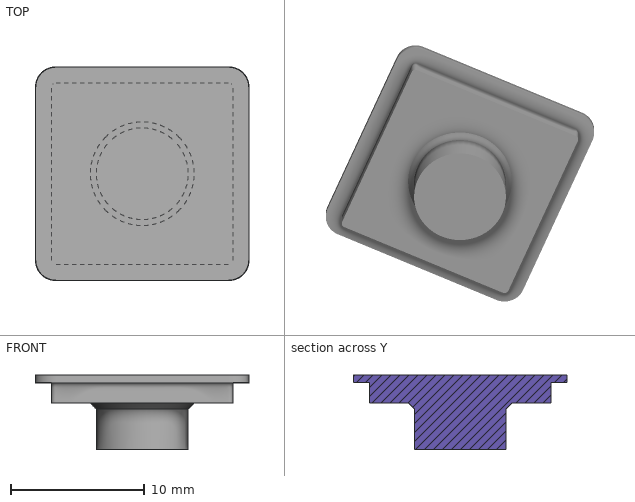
import cadquery as cq

plate_side = 16.0
plate_thickness = 0.6
plate_corner_radius = 1.52

step_inset = 1.2
step_side = plate_side - 2 * step_inset
step_corner_radius = plate_corner_radius - step_inset
step_height = 1.52

total_height = 5.6
post_diameter = 6.88
flare_height = 0.45
flare_spread = 0.45
post_length = total_height - plate_thickness - step_height

step_bottom = post_length
plate_bottom = step_bottom + step_height


def rounded_square(side, height, corner_radius, bottom):
    """Square slab with rounded vertical corners."""
    return (
        cq.Workplane("XY", origin=(0, 0, bottom))
        .rect(side, side)
        .extrude(height)
        .edges("|Z")
        .fillet(corner_radius)
    )


def flared_post():
    """Solid post that widens conically where it meets the step."""
    post_radius = post_diameter / 2
    root_radius = post_radius + flare_spread
    return (
        cq.Workplane("XZ")
        .moveTo(0, 0)
        .lineTo(post_radius, 0)
        .lineTo(post_radius, step_bottom - flare_height)
        .lineTo(root_radius, step_bottom)
        .lineTo(0, step_bottom)
        .close()
        .revolve(360, (0, 0, 0), (0, 1, 0))
    )


plate = rounded_square(plate_side, plate_thickness, plate_corner_radius, plate_bottom)
step = rounded_square(step_side, step_height, step_corner_radius, step_bottom)
result = plate.union(step).union(flared_post())